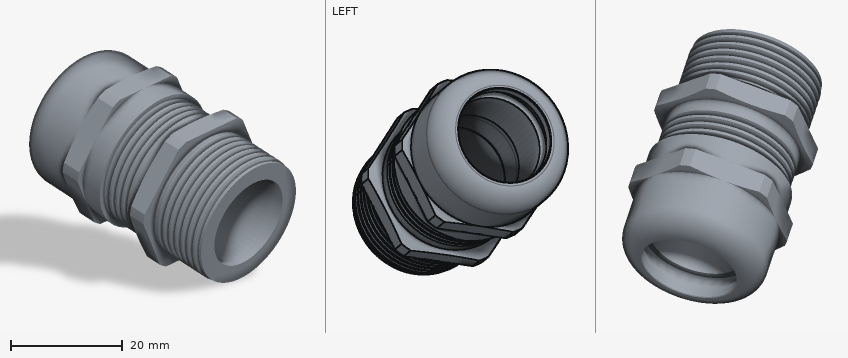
import cadquery as cq
import math


AXIS_TILT = 17.7
AXIS_TURN = 22.2
ROLL = 8.2
AXIS_POINT = (0, 0.35, -0.25)

NOSE = -22.3
LIP_BORE_END = -20.25
SEAL_FACE = -17.15
SEAL_END = -6.9
BORE_LEAD_END = -5.45
CAP_END = -2.25
BORE_STEP = 0.25
NECK_COLLAR_START = 3.6
NECK_COLLAR_END = 5.95
BODY_HEX_END = 9.95
BODY_END = 21.7

HEX_FLATS = 26.9
HEX_CORNER_RADIUS = 15.0
HEX_CHAMFER_ANGLE = 15
CAP_HEX_START = -10.9
CAP_HEX_END = -6.5

CAP_RADIUS = HEX_FLATS / 2
NOSE_ROUND = 4.0
LIP_RADIUS = 8.8
LIP_CHAMFER = 0.15

SEAL_RADIUS = 10.0
SEAL_BORE_RADIUS = 8.7

BODY_BORE_RADIUS = 8.8
OUTLET_BORE_RADIUS = 8.7
COLLAR_RADIUS = 12.5

PITCH = 1.5
CREST_FLAT = PITCH / 3
FLANK_WIDTH = (PITCH - CREST_FLAT) / 2
THREAD_DEPTH = FLANK_WIDTH / math.tan(math.radians(30))
NECK_RADIUS = 12.5
OUTLET_RADIUS = 12.35
TIP_RADIUS = 12.1
ROOT_RADIUS = 11.35
NECK_GROOVES = 4
OUTLET_GROOVES = 7
NECK_LAST_GROOVE = NECK_COLLAR_START - FLANK_WIDTH
OUTLET_FIRST_GROOVE = 11.75
TIP_START = OUTLET_FIRST_GROOVE + (OUTLET_GROOVES - 1) * PITCH

RING_SECTION_RADIUS = 0.5
RING_MEAN_RADIUS = ROOT_RADIUS + RING_SECTION_RADIUS
RELIEF_END = BODY_HEX_END + 2 * RING_SECTION_RADIUS


def turned(outline):
    """Solid of revolution about Z from a closed outline drawn as (radius, station)."""
    return outline.close().revolve(360, (0, 0, 0), (0, 1, 0))


def cylinder(radius, start, end):
    return cq.Workplane("XY").workplane(offset=start).circle(radius).extrude(end - start)


def hexagon(start, end):
    """Hexagon with rounded-off corners and a shallow cone on its front face."""
    prism = (
        cq.Workplane("XY").workplane(offset=start)
        .polygon(6, HEX_FLATS, circumscribed=True).extrude(end - start)
        .rotate((0, 0, 0), (0, 0, 1), ROLL)
    )
    cone_rise = (HEX_CORNER_RADIUS - COLLAR_RADIUS) * math.tan(math.radians(HEX_CHAMFER_ANGLE))
    envelope = turned(
        cq.Workplane("XZ").moveTo(0, start)
        .lineTo(COLLAR_RADIUS, start)
        .lineTo(HEX_CORNER_RADIUS, start + cone_rise)
        .lineTo(HEX_CORNER_RADIUS, end)
        .lineTo(0, end)
    )
    return prism.intersect(envelope)


def thread_groove(station, crest_radius):
    """Ring with a V section that leaves a groove centred on the given station."""
    return turned(
        cq.Workplane("XZ").moveTo(crest_radius - THREAD_DEPTH, station)
        .lineTo(crest_radius, station - FLANK_WIDTH)
        .lineTo(crest_radius, station + FLANK_WIDTH)
    )


def make_cap():
    shell = turned(
        cq.Workplane("XZ").moveTo(0, NOSE)
        .lineTo(CAP_RADIUS - NOSE_ROUND, NOSE)
        .radiusArc((CAP_RADIUS, NOSE + NOSE_ROUND), -NOSE_ROUND)
        .lineTo(CAP_RADIUS, CAP_END)
        .lineTo(0, CAP_END)
    )
    cavity = turned(
        cq.Workplane("XZ").moveTo(0, NOSE)
        .lineTo(LIP_RADIUS + LIP_CHAMFER, NOSE)
        .lineTo(LIP_RADIUS, NOSE + LIP_CHAMFER)
        .lineTo(LIP_RADIUS, LIP_BORE_END)
        .lineTo(SEAL_RADIUS, SEAL_FACE)
        .lineTo(SEAL_RADIUS, SEAL_END)
        .lineTo(ROOT_RADIUS, SEAL_END)
        .lineTo(ROOT_RADIUS, CAP_END)
        .lineTo(0, CAP_END)
    )
    return shell.union(hexagon(CAP_HEX_START, CAP_HEX_END)).cut(cavity)


def make_seal():
    return cylinder(SEAL_RADIUS, SEAL_FACE, SEAL_END).cut(
        cylinder(SEAL_BORE_RADIUS, SEAL_FACE, SEAL_END)
    )


def make_body():
    outside = (
        cylinder(ROOT_RADIUS, SEAL_END, BODY_END)
        .union(cylinder(NECK_RADIUS, CAP_END, NECK_COLLAR_START))
        .union(cylinder(COLLAR_RADIUS, NECK_COLLAR_START, NECK_COLLAR_END))
        .union(hexagon(NECK_COLLAR_END, BODY_HEX_END))
        .union(cylinder(OUTLET_RADIUS, RELIEF_END, TIP_START))
        .union(cylinder(TIP_RADIUS, TIP_START, BODY_END))
    )
    for n in range(NECK_GROOVES):
        outside = outside.cut(thread_groove(NECK_LAST_GROOVE - n * PITCH, NECK_RADIUS))
    for n in range(OUTLET_GROOVES):
        outside = outside.cut(thread_groove(OUTLET_FIRST_GROOVE + n * PITCH, OUTLET_RADIUS))
    bore = turned(
        cq.Workplane("XZ").moveTo(0, SEAL_END)
        .lineTo(SEAL_BORE_RADIUS, SEAL_END)
        .lineTo(BODY_BORE_RADIUS, BORE_LEAD_END)
        .lineTo(BODY_BORE_RADIUS, BORE_STEP)
        .lineTo(OUTLET_BORE_RADIUS, BORE_STEP)
        .lineTo(OUTLET_BORE_RADIUS, BODY_END)
        .lineTo(0, BODY_END)
    )
    return outside.cut(bore)


def make_ring():
    return (
        cq.Workplane("XZ").center(RING_MEAN_RADIUS, BODY_HEX_END + RING_SECTION_RADIUS)
        .circle(RING_SECTION_RADIUS)
        .revolve(360, (-RING_MEAN_RADIUS, 0, 0), (-RING_MEAN_RADIUS, 1, 0))
    )


def placed(part):
    """Tilt a part from the Z axis onto the axis of the gland."""
    return (
        part.rotate((0, 0, 0), (0, 1, 0), 90 + AXIS_TILT)
        .rotate((0, 0, 0), (0, 0, 1), AXIS_TURN)
        .translate(AXIS_POINT)
    )


cap_nut = placed(make_cap())
seal = placed(make_seal())
gland_body = placed(make_body())
o_ring = placed(make_ring())

result = cq.Compound.makeCompound(
    [cap_nut.val(), seal.val(), gland_body.val(), o_ring.val()]
)